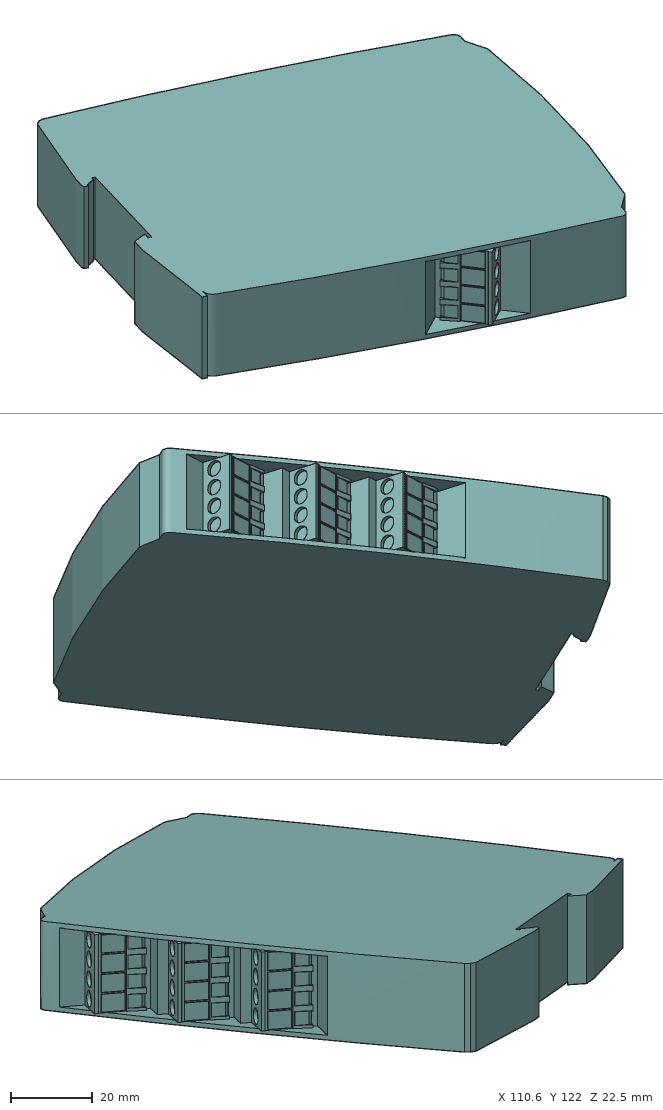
import cadquery as cq
import math

WIDTH_OVER_TIPS = 110.63
LENGTH = 121.98
THICKNESS = 22.5

TIP_X = WIDTH_OVER_TIPS / 2
TOP_Y = LENGTH / 2
BOTTOM_Y = -LENGTH / 2

SIDE_BULGE_X = 53.5
SIDE_BULGE_Y = 12.5
SIDE_TOP = (52.5, 53.3)
SIDE_FOOT = (51.05, -55.6)
SHOULDER_RADIUS = 2.0
SHOULDER_Y = SIDE_TOP[1] + SHOULDER_RADIUS
LID_FOOT_X = 48.0
LID_EDGE = (42.1, 58.8)
LID_FLAT_X = 14.5

RECESS_Y = -56.2
RECESS_LEFT_X = -17.6
HOOK_RELIEF = (0.8, 0.8)
HOOK_TIP_X = -14.0
HOOK_TIP_WIDTH = 0.7
HOOK_TIP_HEIGHT = 1.5
HOOK_BEVEL = (0.9, 0.2)
HOOK_FLAT_X = -18.2
LATCH_GAP = 0.9
LATCH_GAP_END_X = 17.0
LATCH_NOSE_X = 14.9
LATCH_HEEL_X = 17.6
LATCH_FLAT_END_X = 22.6
LATCH_BEND = (47.0, -58.05)
LATCH_END_X = 51.2
LATCH_END_BOTTOM_Y = -57.6
CORNER_END_X = 48.6
RIGHT_FOOT = (51.1, -53.6)
LEFT_BEVEL = ((-50.5, -56.9), (-49.2, -57.9))

CONNECTOR_PITCH = 21.8
MIDDLE_TIP_Y = 17.7
LEFT_TIPS_Y = [MIDDLE_TIP_Y + step * CONNECTOR_PITCH for step in (1, 0, -1)]
RIGHT_TIPS_Y = [MIDDLE_TIP_Y]
CONNECTOR_HEIGHT = 20.0
FACE_TILT = 37.5
WIRE_FACE_DEPTH = 8.3
BUTTON_FACE_LENGTH = 14.5
BAY_REACH = 15.0

POLES = 4
POLE_PITCH = 5.0
HOLE_DIAMETER = 4.0
HOLE_DEPTH = 1.0
HOLE_FROM_TIP = 4.8

RIM_LENGTH = 1.0
LEVER_START = 1.7
LEVER_END = 7.8
LEVER_WIDTH = 4.6
LEVER_BED_DEPTH = 0.3

WEDGE_START = 8.1
WEDGE_END = 13.0
WEDGE_SLOPE = 6.2
SLOT_START = 8.5
SLOT_BEVEL_START = 12.1
SLOT_BEVEL_SLOPE = 34.7
SLOT_WIDTH = 3.5
END_GAP_DEPTH = 0.8

POLE_Z = [(index - (POLES - 1) / 2) * POLE_PITCH for index in range(POLES)]


def make_housing():
    """Plate-like housing with bulged sides, sloped lid and rail recess."""
    diagonal = SHOULDER_RADIUS * (1 - math.sqrt(0.5))
    shoulder_x = SIDE_TOP[0] - SHOULDER_RADIUS
    outline = (
        cq.Workplane("XY", origin=(0, 0, -THICKNESS / 2))
        .moveTo(-SIDE_FOOT[0], SIDE_FOOT[1])
        .threePointArc((-SIDE_BULGE_X, SIDE_BULGE_Y), (-SIDE_TOP[0], SIDE_TOP[1]))
        .threePointArc(
            (-SIDE_TOP[0] + diagonal, SHOULDER_Y - diagonal), (-shoulder_x, SHOULDER_Y)
        )
        .lineTo(-LID_FOOT_X, SHOULDER_Y)
        .lineTo(-LID_EDGE[0], LID_EDGE[1])
        .lineTo(-LID_FLAT_X, TOP_Y)
        .lineTo(LID_FLAT_X, TOP_Y)
        .lineTo(*LID_EDGE)
        .lineTo(LID_FOOT_X, SHOULDER_Y)
        .lineTo(shoulder_x, SHOULDER_Y)
        .threePointArc((SIDE_TOP[0] - diagonal, SHOULDER_Y - diagonal), SIDE_TOP)
        .threePointArc((SIDE_BULGE_X, SIDE_BULGE_Y), RIGHT_FOOT)
        .radiusArc((CORNER_END_X, RECESS_Y), RIGHT_FOOT[1] - RECESS_Y)
        .lineTo(LATCH_END_X, RECESS_Y)
        .lineTo(LATCH_END_X, LATCH_END_BOTTOM_Y)
        .lineTo(*LATCH_BEND)
        .lineTo(LATCH_FLAT_END_X, BOTTOM_Y)
        .lineTo(LATCH_HEEL_X, BOTTOM_Y)
        .lineTo(LATCH_NOSE_X, RECESS_Y - LATCH_GAP)
        .lineTo(LATCH_GAP_END_X, RECESS_Y - LATCH_GAP)
        .lineTo(LATCH_GAP_END_X, RECESS_Y)
        .lineTo(RECESS_LEFT_X, RECESS_Y)
        .lineTo(RECESS_LEFT_X, RECESS_Y - HOOK_RELIEF[1])
        .lineTo(RECESS_LEFT_X + HOOK_RELIEF[0], RECESS_Y - HOOK_RELIEF[1])
        .lineTo(HOOK_TIP_X - HOOK_TIP_WIDTH, BOTTOM_Y + HOOK_TIP_HEIGHT)
        .lineTo(HOOK_TIP_X, BOTTOM_Y + HOOK_TIP_HEIGHT)
        .lineTo(HOOK_TIP_X, BOTTOM_Y + HOOK_BEVEL[1])
        .lineTo(HOOK_TIP_X - HOOK_BEVEL[0], BOTTOM_Y)
        .lineTo(HOOK_FLAT_X, BOTTOM_Y)
        .lineTo(*LEFT_BEVEL[1])
        .lineTo(*LEFT_BEVEL[0])
        .close()
    )
    return outline.extrude(THICKNESS)


def connector_plane(tip_y):
    """Frame at a left-hand tip: x runs down the button face, y into the housing."""
    tilt = math.radians(FACE_TILT)
    return cq.Plane(
        origin=(-TIP_X, tip_y, 0),
        xDir=(math.sin(tilt), -math.cos(tilt), 0),
        normal=(0, 0, 1),
    )


def prism(plane, points, height, z_center=0):
    """Polygon in the connector frame, extruded symmetrically about z_center."""
    return (
        cq.Workplane(plane)
        .workplane(offset=z_center)
        .polyline(points)
        .close()
        .extrude(height / 2, both=True)
    )


def box(plane, start, end, height, z_center=0):
    """Rectangular block in the connector frame, given two opposite corners."""
    points = [start, (end[0], start[1]), end, (start[0], end[1])]
    return prism(plane, points, height, z_center)


def make_bay(plane):
    """Stepped opening in the housing in front of one connector."""
    wire_side = box(plane, (-BAY_REACH, -BAY_REACH), (0, WIRE_FACE_DEPTH), CONNECTOR_HEIGHT)
    button_side = box(plane, (0, -BAY_REACH), (BUTTON_FACE_LENGTH, 0), CONNECTOR_HEIGHT)
    return wire_side.union(button_side)


def make_block(plane):
    """Plain block of one connector, bounded by its wire face and button face."""
    return box(plane, (0, 0), (BUTTON_FACE_LENGTH, WIRE_FACE_DEPTH), CONNECTOR_HEIGHT)


def make_wedge(plane):
    """Rising wedge at the end of the button face, slotted for the test contacts."""
    rise = (WEDGE_END - WEDGE_START) * math.tan(math.radians(WEDGE_SLOPE))
    wedge = prism(
        plane, [(WEDGE_START, 0), (WEDGE_END, -rise), (WEDGE_END, 0)], CONNECTOR_HEIGHT
    )
    for z in POLE_Z:
        wedge = wedge.cut(box(plane, (SLOT_START, -2 * rise), (WEDGE_END, 0), SLOT_WIDTH, z))
    return wedge


def make_wire_holes(plane):
    """Row of shallow round wire openings, square to the wire face."""
    wire_plane = cq.Plane(
        origin=plane.toWorldCoords((0, HOLE_FROM_TIP, 0)).toTuple(),
        xDir=(0, 0, 1),
        normal=plane.xDir.toTuple(),
    )
    return (
        cq.Workplane(wire_plane)
        .pushPoints([(z, 0) for z in POLE_Z])
        .circle(HOLE_DIAMETER / 2)
        .extrude(HOLE_DEPTH)
    )


def make_connector(plane):
    """Four-pole terminal block with wire holes, release levers and test slots."""
    lever_bed = box(plane, (RIM_LENGTH, 0), (WEDGE_START, LEVER_BED_DEPTH), CONNECTOR_HEIGHT)
    end_gap = box(plane, (WEDGE_END, 0), (BUTTON_FACE_LENGTH, END_GAP_DEPTH), CONNECTOR_HEIGHT)
    body = make_block(plane).cut(lever_bed).cut(end_gap)
    bevel_drop = (WEDGE_END - SLOT_BEVEL_START) * math.tan(math.radians(SLOT_BEVEL_SLOPE))
    bevel = [(SLOT_BEVEL_START, 0), (WEDGE_END, bevel_drop), (WEDGE_END, 0)]
    body = body.cut(make_wire_holes(plane))
    for z in POLE_Z:
        body = body.union(box(plane, (LEVER_START, 0), (LEVER_END, LEVER_BED_DEPTH), LEVER_WIDTH, z))
        body = body.cut(prism(plane, bevel, SLOT_WIDTH, z))
    return body.union(make_wedge(plane))


def add_connectors(housing, tips_y, mirrored):
    """Open the bays on one side of the housing and set the connectors into them."""
    for tip_y in tips_y:
        plane = connector_plane(tip_y)
        opening = make_bay(plane).union(make_block(plane))
        connector = make_connector(plane)
        if mirrored:
            opening = opening.mirror("YZ")
            connector = connector.mirror("YZ")
        housing = housing.cut(opening).union(connector)
    return housing


result = make_housing()
result = add_connectors(result, LEFT_TIPS_Y, mirrored=False)
result = add_connectors(result, RIGHT_TIPS_Y, mirrored=True)